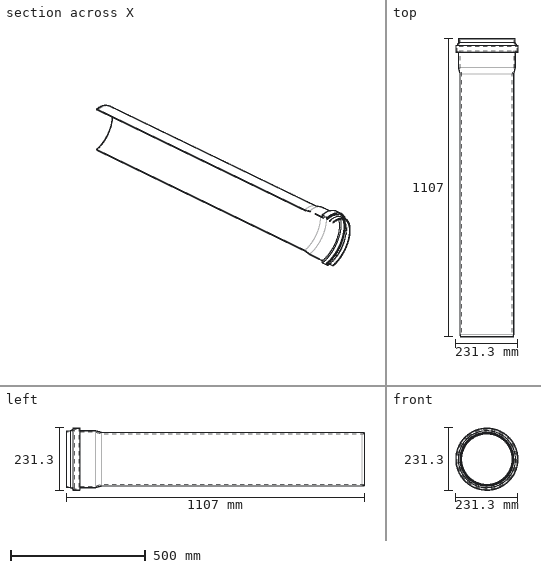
import cadquery as cq
import math

total_length = 1107.0
pipe_diameter = 200.0
pipe_bore = 187.6

socket_diameter = 212.0
socket_bore = 200.8
socket_depth = 108.0
transition_length = 23.0

lip_bore = 201.0
thin_wall = 4.7
lip_diameter = lip_bore + 2 * thin_wall
lip_length = 15.0

ring_diameter = 231.3
ring_start = 25.5
ring_end = 51.5
ring_fillet = 3.0
groove_diameter = ring_diameter - 2 * thin_wall
flare_diameter = groove_diameter
flare_bore = flare_diameter - 2 * thin_wall

bevel_length = 8.5
bevel_depth = 2.0

mouth_y = total_length
lip_y = mouth_y - lip_length
ring_front_y = mouth_y - ring_start
ring_back_y = mouth_y - ring_end
groove_front_y = ring_front_y - thin_wall
groove_back_y = ring_back_y + thin_wall
socket_end_y = mouth_y - socket_depth
pipe_start_y = socket_end_y - transition_length


def revolve_about_y(outline):
    """Turn a closed (radius, y) outline into a solid of revolution about Y."""
    return outline.revolve(360, (0, 0, 0), (0, 1, 0))


def outer_body():
    """Solid envelope: bevelled spigot, pipe, cone, socket, ring, flare and lip."""
    pipe_radius = pipe_diameter / 2
    socket_radius = socket_diameter / 2
    ring_radius = ring_diameter / 2
    flare_radius = flare_diameter / 2
    lip_radius = lip_diameter / 2
    fillet_sag = ring_fillet * (1 - math.sqrt(0.5))
    outline = (
        cq.Workplane("XY")
        .moveTo(0, 0)
        .lineTo(pipe_radius - bevel_depth, 0)
        .lineTo(pipe_radius, bevel_length)
        .lineTo(pipe_radius, pipe_start_y)
        .lineTo(socket_radius, socket_end_y)
        .lineTo(socket_radius, ring_back_y)
        .lineTo(ring_radius - ring_fillet, ring_back_y)
        .threePointArc(
            (ring_radius - fillet_sag, ring_back_y + fillet_sag),
            (ring_radius, ring_back_y + ring_fillet),
        )
        .lineTo(ring_radius, ring_front_y)
        .lineTo(flare_radius, ring_front_y)
        .lineTo(lip_radius, lip_y)
        .lineTo(lip_radius, mouth_y)
        .lineTo(0, mouth_y)
        .close()
    )
    return revolve_about_y(outline)


def inner_bore():
    """Space inside the pipe, widening through the cone into the socket, seal groove and lip."""
    pipe_bore_radius = pipe_bore / 2
    socket_bore_radius = socket_bore / 2
    groove_radius = groove_diameter / 2
    flare_bore_radius = flare_bore / 2
    lip_bore_radius = lip_bore / 2
    outline = (
        cq.Workplane("XY")
        .moveTo(0, 0)
        .lineTo(pipe_bore_radius, 0)
        .lineTo(pipe_bore_radius, pipe_start_y)
        .lineTo(socket_bore_radius, socket_end_y)
        .lineTo(socket_bore_radius, groove_back_y)
        .lineTo(groove_radius, groove_back_y)
        .lineTo(groove_radius, groove_front_y)
        .lineTo(flare_bore_radius, groove_front_y)
        .lineTo(flare_bore_radius, ring_front_y)
        .lineTo(lip_bore_radius, lip_y)
        .lineTo(lip_bore_radius, mouth_y)
        .lineTo(0, mouth_y)
        .close()
    )
    return revolve_about_y(outline)


result = outer_body().cut(inner_bore())